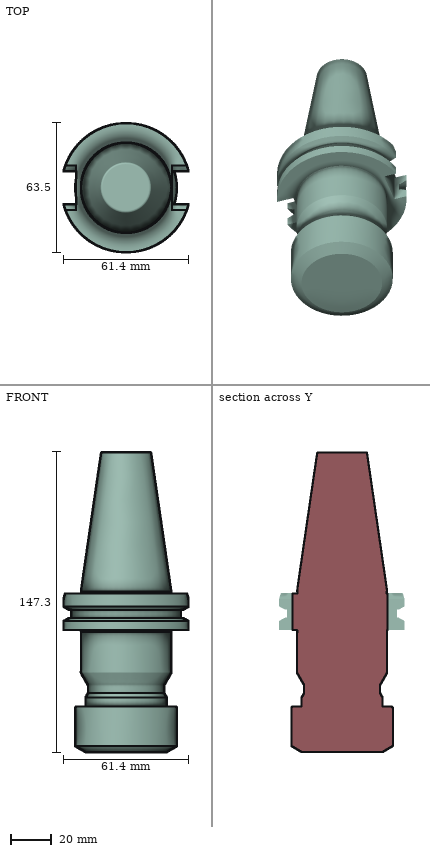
import cadquery as cq
import math


gauge_diameter = 44.45
taper_length = 68.25
taper_ratio = 7 / 24
shank_end_round = 1.0

relief_diameter = 43.85
flange_top_z = -1.0
relief_taper_height = 0.3

flange_diameter = 63.5
flange_bottom_z = -19.05
groove_diameter = 56.25
groove_floor_width = 3.85
groove_center_z = -11.1
groove_opening_width = 7.1
groove_flank_angle = 30.0

slot_width = 16.1
slot_chamfer = 2.8
left_slot_floor_x = -24.5
right_slot_floor_x = 22.4

body_diameter = gauge_diameter
undercut_diameter = 44.25
undercut_height = 1.0
undercut_fillet_radius = 0.4
body_bottom_z = -39.95
neck_diameter = 37.5
neck_top_z = -46.0
neck_bottom_z = -49.9
cone_blend_radius = 1.0
collar_diameter = 40.0
collar_top_z = -52.1

nut_diameter = 50.0
nut_top_z = -56.4
nut_bottom_z = -79.0
nut_top_round = 1.0
nut_face_diameter = 39.5
nut_bottom_chamfer_height = 3.1

edge_tolerance = 0.01


def turned_blank():
    """Revolve the half section of the whole holder, from the shank end to the nut face."""
    shank_end_radius = (gauge_diameter - taper_length * taper_ratio) / 2
    relief_radius = relief_diameter / 2
    undercut_radius = undercut_diameter / 2
    flange_radius = flange_diameter / 2
    groove_radius = groove_diameter / 2
    groove_top_z = groove_center_z + groove_floor_width / 2
    groove_bottom_z = groove_center_z - groove_floor_width / 2
    flank_height = (groove_opening_width - groove_floor_width) / 2
    ledge_radius = flange_radius - flank_height / math.tan(math.radians(groove_flank_angle))
    undercut_bottom_z = flange_bottom_z - undercut_height
    undercut_fillet_z = flange_bottom_z - undercut_fillet_radius

    taper_half_angle = math.atan(taper_ratio / 2)
    round_tangent_length = shank_end_round * math.tan((math.pi / 2 - taper_half_angle) / 2)
    round_start = (shank_end_radius - round_tangent_length, taper_length)
    round_end = (
        shank_end_radius + round_tangent_length * math.sin(taper_half_angle),
        taper_length - round_tangent_length * math.cos(taper_half_angle),
    )

    half_section = (
        cq.Workplane("XZ")
        .moveTo(0, taper_length)
        .lineTo(*round_start)
        .radiusArc(round_end, shank_end_round)
        .lineTo(gauge_diameter / 2, 0)
        .lineTo(relief_radius, -relief_taper_height)
        .lineTo(relief_radius, flange_top_z)
        .lineTo(flange_radius, flange_top_z)
        .lineTo(flange_radius, groove_top_z + flank_height)
        .lineTo(ledge_radius, groove_top_z)
        .lineTo(groove_radius, groove_top_z)
        .lineTo(groove_radius, groove_bottom_z)
        .lineTo(ledge_radius, groove_bottom_z)
        .lineTo(flange_radius, groove_bottom_z - flank_height)
        .lineTo(flange_radius, flange_bottom_z)
        .lineTo(undercut_radius + undercut_fillet_radius, flange_bottom_z)
        .radiusArc((undercut_radius, undercut_fillet_z), -undercut_fillet_radius)
        .lineTo(undercut_radius, undercut_bottom_z)
        .lineTo(body_diameter / 2, undercut_bottom_z)
        .lineTo(body_diameter / 2, body_bottom_z)
        .lineTo(neck_diameter / 2, neck_top_z)
        .lineTo(neck_diameter / 2, neck_bottom_z)
        .lineTo(collar_diameter / 2, collar_top_z)
        .lineTo(collar_diameter / 2, nut_top_z)
        .lineTo(nut_diameter / 2 - nut_top_round, nut_top_z)
        .radiusArc((nut_diameter / 2, nut_top_z - nut_top_round), nut_top_round)
        .lineTo(nut_diameter / 2, nut_bottom_z + nut_bottom_chamfer_height)
        .lineTo(nut_face_diameter / 2, nut_bottom_z)
        .lineTo(0, nut_bottom_z)
        .close()
    )
    return half_section.revolve(360, (0, 0, 0), (0, 1, 0))


def blend_ring(part, ring_z):
    """Fillet the circular edge lying at height ring_z."""
    reach = flange_diameter
    ring_selector = cq.selectors.BoxSelector(
        (-reach, -reach, ring_z - edge_tolerance),
        (reach, reach, ring_z + edge_tolerance),
        boundingbox=True,
    )
    return part.edges(ring_selector).fillet(cone_blend_radius)


def drive_slot(floor_x):
    """Cutter for one slot, running outward from floor_x, with chamfered upper edges."""
    half_width = slot_width / 2
    outline = [
        (-half_width, flange_bottom_z),
        (half_width, flange_bottom_z),
        (half_width, flange_top_z - slot_chamfer),
        (half_width + slot_chamfer, flange_top_z),
        (-half_width - slot_chamfer, flange_top_z),
        (-half_width, flange_top_z - slot_chamfer),
    ]
    outward_length = math.copysign(flange_diameter / 2, floor_x)
    return cq.Workplane("YZ", origin=(floor_x, 0, 0)).polyline(outline).close().extrude(outward_length)


result = turned_blank()
for cone_edge_z in (body_bottom_z, neck_top_z):
    result = blend_ring(result, cone_edge_z)
for slot_floor_x in (left_slot_floor_x, right_slot_floor_x):
    result = result.cut(drive_slot(slot_floor_x))